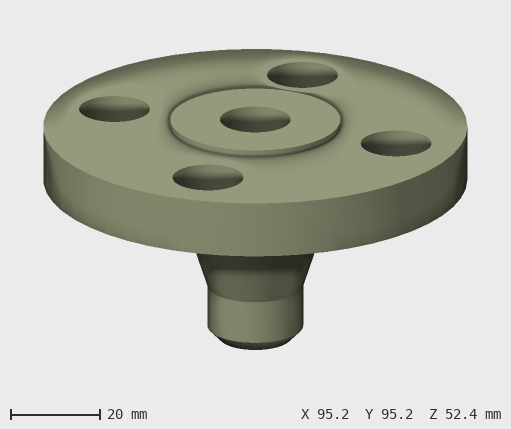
import cadquery as cq

flange_diameter = 95.25
total_height = 52.4

flange_thickness = 12.8
face_diameter = 38.2
face_height = 1.6

hub_diameter = 37.8
hub_height = 25.4
neck_diameter = 21.5
bevel_height = 2.8
bevel_end_diameter = 16.2

bore_diameter = 15.9
bolt_hole_diameter = 15.9
bolt_circle_diameter = 66.7
bolt_count = 4
first_bolt_angle = 45.0

flange_top = total_height - face_height
flange_bottom = flange_top - flange_thickness
hub_bottom = flange_bottom - hub_height


def revolved_body():
    """Solid of neck, hub, flange and raised face, turned about the Z axis."""
    profile = [
        (0, 0),
        (bevel_end_diameter / 2, 0),
        (neck_diameter / 2, bevel_height),
        (neck_diameter / 2, hub_bottom),
        (hub_diameter / 2, flange_bottom),
        (flange_diameter / 2, flange_bottom),
        (flange_diameter / 2, flange_top),
        (face_diameter / 2, flange_top),
        (face_diameter / 2, total_height),
        (0, total_height),
    ]
    return cq.Workplane("XZ").polyline(profile).close().revolve(360, (0, 0), (0, 1))


def bore():
    """Straight bore along the whole axis."""
    return cq.Workplane("XY").circle(bore_diameter / 2).extrude(total_height)


def bolt_holes():
    """Ring of through holes in the flange."""
    return (
        cq.Workplane("XY", origin=(0, 0, flange_bottom))
        .polarArray(bolt_circle_diameter / 2, first_bolt_angle, 360, bolt_count)
        .circle(bolt_hole_diameter / 2)
        .extrude(flange_thickness)
    )


result = revolved_body().cut(bore()).cut(bolt_holes())